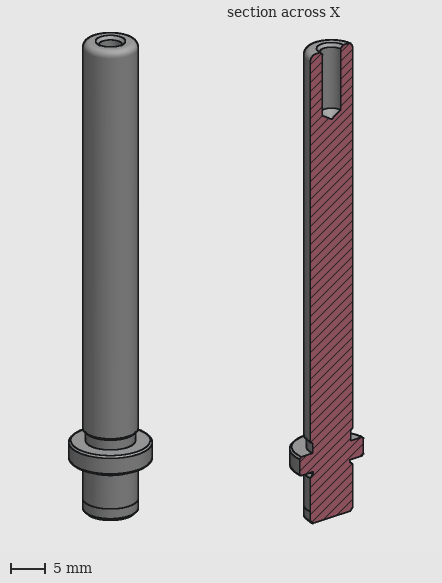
import cadquery as cq
import math

TOTAL_LENGTH = 73.0

SHAFT_RADIUS = 4.0
SHAFT_BOTTOM_Z = 12.9
SHAFT_TOP_FILLET = 1.0

UPPER_NECK_RADIUS = 3.6
UPPER_NECK_TAPER_HEIGHT = 0.4

FLANGE_RADIUS = 6.0
FLANGE_BOTTOM_Z = 8.0
FLANGE_THICKNESS = 3.0
FLANGE_CHAMFER = 0.3

SPIGOT_RADIUS = 4.01
LEAD_RADIUS = 4.0
LEAD_LENGTH = 2.0
END_CHAMFER = 0.5

LOWER_NECK_RADIUS = 3.5
LOWER_NECK_TAPER_HEIGHT = 0.5
LOWER_NECK_LENGTH = 0.3

HOLE_RADIUS = 1.65
HOLE_MOUTH_RADIUS = 2.15
HOLE_DEPTH = 10.0
DRILL_POINT_ANGLE = 118.0


def make_body():
    """Revolve the outer outline of the pin, from the bottom end up."""
    flange_top_z = FLANGE_BOTTOM_Z + FLANGE_THICKNESS
    flange_face_radius = FLANGE_RADIUS - FLANGE_CHAMFER
    lower_neck_z = FLANGE_BOTTOM_Z - LOWER_NECK_LENGTH
    fillet_start_z = TOTAL_LENGTH - SHAFT_TOP_FILLET
    fillet_center_radius = SHAFT_RADIUS - SHAFT_TOP_FILLET
    fillet_mid_offset = SHAFT_TOP_FILLET * math.sqrt(0.5)
    outline = (
        cq.Workplane("XZ")
        .moveTo(0, 0)
        .lineTo(LEAD_RADIUS - END_CHAMFER, 0)
        .lineTo(LEAD_RADIUS, END_CHAMFER)
        .lineTo(LEAD_RADIUS, LEAD_LENGTH)
        .lineTo(SPIGOT_RADIUS, LEAD_LENGTH)
        .lineTo(SPIGOT_RADIUS, lower_neck_z - LOWER_NECK_TAPER_HEIGHT)
        .lineTo(LOWER_NECK_RADIUS, lower_neck_z)
        .lineTo(LOWER_NECK_RADIUS, FLANGE_BOTTOM_Z)
        .lineTo(flange_face_radius, FLANGE_BOTTOM_Z)
        .lineTo(FLANGE_RADIUS, FLANGE_BOTTOM_Z + FLANGE_CHAMFER)
        .lineTo(FLANGE_RADIUS, flange_top_z - FLANGE_CHAMFER)
        .lineTo(flange_face_radius, flange_top_z)
        .lineTo(UPPER_NECK_RADIUS, flange_top_z)
        .lineTo(UPPER_NECK_RADIUS, SHAFT_BOTTOM_Z - UPPER_NECK_TAPER_HEIGHT)
        .lineTo(SHAFT_RADIUS, SHAFT_BOTTOM_Z)
        .lineTo(SHAFT_RADIUS, fillet_start_z)
        .threePointArc(
            (fillet_center_radius + fillet_mid_offset, fillet_start_z + fillet_mid_offset),
            (fillet_center_radius, TOTAL_LENGTH),
        )
        .lineTo(0, TOTAL_LENGTH)
        .close()
    )
    return outline.revolve(360, (0, 0, 0), (0, 1, 0))


def make_hole():
    """Blind drilled hole with a 45 degree countersink and a conical bottom."""
    countersink_depth = HOLE_MOUTH_RADIUS - HOLE_RADIUS
    hole_bottom_z = TOTAL_LENGTH - HOLE_DEPTH
    point_height = HOLE_RADIUS / math.tan(math.radians(DRILL_POINT_ANGLE / 2))
    outline = (
        cq.Workplane("XZ")
        .moveTo(0, TOTAL_LENGTH)
        .lineTo(HOLE_MOUTH_RADIUS, TOTAL_LENGTH)
        .lineTo(HOLE_RADIUS, TOTAL_LENGTH - countersink_depth)
        .lineTo(HOLE_RADIUS, hole_bottom_z)
        .lineTo(0, hole_bottom_z - point_height)
        .close()
    )
    return outline.revolve(360, (0, 0, 0), (0, 1, 0))


result = make_body().cut(make_hole())